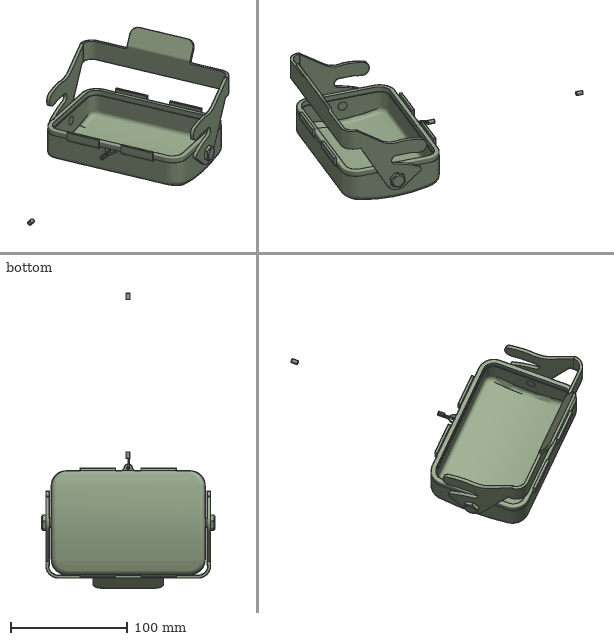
import cadquery as cq
import math


HOUSING_LENGTH = 132.5
HOUSING_WIDTH = 89.3
HOUSING_CORNER = 13.2
WALL = 5.0
SEAM_Z = 29.2
BOTTOM_SAG = 7.0
BOTTOM_FILLET = 4.5
FLOOR_FILLET = 3.8
HALF_WIDTH = HOUSING_WIDTH / 2
BOTTOM_RADIUS = (HALF_WIDTH**2 + BOTTOM_SAG**2) / (2 * BOTTOM_SAG)

CLIP_LENGTH = 30.5
CLIP_OFFSET = 26.1
CLIP_THICKNESS = 2.3
CLIP_TOP_Z = 36.3
CLIP_BEND_Z = 30.7
CLIP_FOOT_Z = 27.1
CLIP_FOOT_BULGE = 0.38

LUG_Z = 28.0
LUG_THICKNESS = 1.8
LUG_RADIUS = 3.5
LUG_BASE_HALF = 5.5
LUG_HOLE_Y = -47.0
LUG_HOLE_RADIUS = 1.15

RIM_TOP_Z = 33.7
RIM_WALL = 4.0
RIM_CORNER = 14.0
RIM_FILLET = 0.8

BRACKET_LENGTH = 141.8
BRACKET_BACK_Y = 47.7
STRAP_THICKNESS = 2.5
ARM_THICKNESS = 3.0
BEND_RADIUS = 11.0
STRAP_TOP_Z = 77.5
STRAP_BOTTOM_Z = 60.0
BEND_END_Y = BRACKET_BACK_Y - BEND_RADIUS
FOOT_RADIUS = 10.1
FOOT_ARC_END = math.radians(-30)
ARM_BACK_CORNER_Y = 33.5
FINGER_ROOT_Y = 12.5
FINGER_ROOT_Z = 61.0
TAB_WIDTH = 61.0
TAB_BEND_Z = 80.2
TAB_BEND_RADIUS = 1.3
TAB_TOP_Z = 96.0
TAB_TILT = math.radians(30)
TAB_CORNER = 7.5
TAB_ROOT_FILLET = 1.5
TAB_FRONT_TOP_Y = BRACKET_BACK_Y - STRAP_THICKNESS + (TAB_TOP_Z - TAB_BEND_Z) * math.tan(TAB_TILT)
TAB_TIP_Y = TAB_FRONT_TOP_Y + STRAP_THICKNESS * math.cos(TAB_TILT)
SELECT_MARGIN = 0.3

PIVOT_Z = 21.8
SHANK_RADIUS = 4.0
HEAD_RADIUS = 7.0
HEAD_FACE_RADIUS = 5.3
HEAD_CHAMFER = 1.3
HEAD_TURN = 20
BOLT_SPAN = 149.0

WIRE_RADIUS = 0.63
LOOP_RADIUS = 2.0
STRAND_OFFSET = 0.8
LOOP_X = 0.38
FERRULE_RADIUS = 1.8
FERRULE_LENGTH = 5.5
FERRULE_X = -0.3
NEAR_FERRULE_END_Y = -61.0
OVERALL_DEPTH = 253.7
FAR_FERRULE_END_Y = TAB_TIP_Y - OVERALL_DEPTH


def rounded_block(length, width, corner, z_low, z_high):
    """Upright block with rounded vertical edges, centred on the Z axis."""
    block = cq.Workplane("XY").workplane(offset=z_low).rect(length, width).extrude(z_high - z_low)
    return block.edges("|Z").fillet(corner)


def bottom_cylinder(radius):
    """Cylinder along X whose lowest line is raised by the reduction of its radius."""
    return (
        cq.Workplane("YZ")
        .center(0, BOTTOM_RADIUS)
        .circle(radius)
        .extrude(HOUSING_LENGTH, both=True)
    )


def tray_block(inset, corner_fillet, z_high):
    """Rounded block with the curved bottom, shrunk by an inset on the sides and below."""
    block = rounded_block(
        HOUSING_LENGTH - 2 * inset, HOUSING_WIDTH - 2 * inset, HOUSING_CORNER - inset, 0, z_high
    )
    block = block.intersect(bottom_cylinder(BOTTOM_RADIUS - inset))
    return block.faces("<Z").edges().fillet(corner_fillet)


def make_clip(x_center, side):
    """Upright clip with a rounded foot outside a long wall; side is -1 (front) or 1 (back)."""
    outer = HALF_WIDTH + CLIP_THICKNESS
    profile = (
        cq.Workplane("YZ")
        .moveTo(side * HALF_WIDTH, CLIP_FOOT_Z)
        .lineTo(side * HALF_WIDTH, CLIP_TOP_Z)
        .lineTo(side * outer, CLIP_TOP_Z)
        .lineTo(side * outer, CLIP_BEND_Z)
        .sagittaArc((side * HALF_WIDTH, CLIP_FOOT_Z), side * CLIP_FOOT_BULGE)
        .close()
    )
    clip = profile.extrude(CLIP_LENGTH / 2, both=True)
    return clip.translate((x_center, 0, 0))


def make_lug():
    """Flat tongue on the front wall, rounded about its hole."""
    inner_y = WALL / 2 - HALF_WIDTH
    tongue = (
        cq.Workplane("XY")
        .moveTo(-LUG_BASE_HALF, inner_y)
        .lineTo(-LUG_BASE_HALF, -HALF_WIDTH)
        .lineTo(-LUG_RADIUS, LUG_HOLE_Y)
        .threePointArc((0, LUG_HOLE_Y - LUG_RADIUS), (LUG_RADIUS, LUG_HOLE_Y))
        .lineTo(LUG_BASE_HALF, -HALF_WIDTH)
        .lineTo(LUG_BASE_HALF, inner_y)
        .close()
        .extrude(LUG_THICKNESS / 2, both=True)
    )
    hole = cq.Workplane("XY").center(0, LUG_HOLE_Y).circle(LUG_HOLE_RADIUS).extrude(LUG_THICKNESS, both=True)
    return tongue.cut(hole).translate((0, 0, LUG_Z))


def pivot_bore():
    """Cylinder along the pivot axis that the bolt shanks fill."""
    return (
        cq.Workplane("YZ").center(0, PIVOT_Z).circle(SHANK_RADIUS).extrude(BRACKET_LENGTH, both=True)
    )


def make_housing():
    housing = tray_block(0, BOTTOM_FILLET, SEAM_Z)
    housing = housing.cut(tray_block(WALL, FLOOR_FILLET, SEAM_Z))
    for side in (-1, 1):
        for x_center in (-CLIP_OFFSET, CLIP_OFFSET):
            housing = housing.union(make_clip(x_center, side))
    return housing.union(make_lug()).cut(pivot_bore())


def make_rim():
    outer = rounded_block(HOUSING_LENGTH, HOUSING_WIDTH, RIM_CORNER, SEAM_Z, RIM_TOP_Z)
    outer = outer.faces(">Z").edges().fillet(RIM_FILLET)
    opening = rounded_block(
        HOUSING_LENGTH - 2 * RIM_WALL,
        HOUSING_WIDTH - 2 * RIM_WALL,
        RIM_CORNER - RIM_WALL,
        SEAM_Z,
        RIM_TOP_Z,
    )
    return outer.cut(opening)


def make_strap():
    """Back strap with its two rounded bends, ending where the arms begin."""
    def bent_block(inset):
        half = BRACKET_LENGTH / 2 - inset
        back = BRACKET_BACK_Y - inset
        radius = BEND_RADIUS - inset
        block = (
            cq.Workplane("XY")
            .workplane(offset=STRAP_BOTTOM_Z)
            .moveTo(-half, BEND_END_Y)
            .lineTo(half, BEND_END_Y)
            .radiusArc((half - radius, back), -radius)
            .lineTo(radius - half, back)
            .radiusArc((-half, BEND_END_Y), -radius)
            .close()
        )
        return block.extrude(STRAP_TOP_Z - STRAP_BOTTOM_Z)

    return bent_block(0).cut(bent_block(STRAP_THICKNESS))


def arm_outline():
    """Forked arm in the YZ plane: an upper finger, a round-ended slot and a foot about the pivot."""
    return (
        cq.Workplane("YZ")
        .moveTo(BEND_END_Y, STRAP_TOP_Z)
        .lineTo(FINGER_ROOT_Y, FINGER_ROOT_Z)
        .threePointArc((4.5, 58.4), (-3.8, 58.9))
        .threePointArc((-12.5, 58.5), (-20.8, 57.0))
        .threePointArc((-27.1, 51.2), (-22.8, 44.7))
        .threePointArc((-18.3, 44.7), (-13.7, 45.7))
        .lineTo(1.0, 45.7)
        .threePointArc((5.0, 41.5), (1.0, 37.0))
        .threePointArc((-11.0, 34.0), (-20.8, 30.0))
        .threePointArc((-22.0, 28.2), (-21.3, 26.0))
        .lineTo(-6.3, 13.5)
        .threePointArc(
            (0, PIVOT_Z - FOOT_RADIUS),
            (FOOT_RADIUS * math.cos(FOOT_ARC_END), PIVOT_Z + FOOT_RADIUS * math.sin(FOOT_ARC_END)),
        )
        .lineTo(ARM_BACK_CORNER_Y, STRAP_BOTTOM_Z)
        .lineTo(BEND_END_Y, STRAP_BOTTOM_Z)
        .close()
    )


def make_tab():
    """Tab that rises from the strap and tilts backwards."""
    back = BRACKET_BACK_Y
    front = back - STRAP_THICKNESS
    bend_shift = STRAP_THICKNESS * math.tan(TAB_TILT / 2)
    plate_corner_z = TAB_TOP_Z - STRAP_THICKNESS * math.sin(TAB_TILT)
    profile = [
        (front, STRAP_TOP_Z),
        (back, STRAP_TOP_Z),
        (back, TAB_BEND_Z - bend_shift),
        (TAB_TIP_Y, plate_corner_z),
        (TAB_FRONT_TOP_Y, TAB_TOP_Z),
        (front, TAB_BEND_Z),
    ]
    tab = cq.Workplane("YZ").polyline(profile).close().extrude(TAB_WIDTH / 2, both=True)
    top_corners = cq.selectors.BoxSelector(
        (-TAB_WIDTH, front, plate_corner_z - STRAP_THICKNESS),
        (TAB_WIDTH, TAB_TIP_Y + STRAP_THICKNESS, TAB_TOP_Z + STRAP_THICKNESS),
    )
    tab = tab.edges(top_corners).edges("not |X").fillet(TAB_CORNER)
    front_bend = cq.selectors.NearestToPointSelector((0, front, TAB_BEND_Z))
    back_bend = cq.selectors.NearestToPointSelector((0, back, TAB_BEND_Z - bend_shift))
    tab = tab.edges("|X").edges(front_bend).fillet(TAB_BEND_RADIUS + STRAP_THICKNESS)
    return tab.edges("|X").edges(back_bend).fillet(TAB_BEND_RADIUS)


def make_bracket():
    bracket = make_strap()
    for arm_start in (-BRACKET_LENGTH / 2, BRACKET_LENGTH / 2 - ARM_THICKNESS):
        bracket = bracket.union(arm_outline().extrude(ARM_THICKNESS).translate((arm_start, 0, 0)))
    bracket = bracket.union(make_tab())
    root_corners = cq.selectors.BoxSelector(
        (-TAB_WIDTH / 2 - SELECT_MARGIN, 0, STRAP_TOP_Z - SELECT_MARGIN),
        (TAB_WIDTH / 2 + SELECT_MARGIN, BRACKET_BACK_Y, STRAP_TOP_Z + SELECT_MARGIN),
    )
    bracket = bracket.edges("|Y").edges(root_corners).fillet(TAB_ROOT_FILLET)
    return bracket.cut(pivot_bore())


def make_bolt(side):
    """Hexagon-headed pivot bolt; side is -1 or 1 along X."""
    head_seat = BRACKET_LENGTH / 2
    head_end = BOLT_SPAN / 2
    shank_end = HOUSING_LENGTH / 2 - WALL
    turns = [math.radians(HEAD_TURN + 60 * index) for index in range(6)]
    corners = [(HEAD_RADIUS * math.cos(turn), HEAD_RADIUS * math.sin(turn)) for turn in turns]
    hexagon = (
        cq.Workplane("YZ").workplane(offset=head_seat).polyline(corners).close().extrude(head_end - head_seat)
    )
    envelope = (
        cq.Workplane("XY")
        .moveTo(head_seat, 0)
        .lineTo(head_seat, HEAD_RADIUS)
        .lineTo(head_end - HEAD_CHAMFER, HEAD_RADIUS)
        .lineTo(head_end, HEAD_FACE_RADIUS)
        .lineTo(head_end, 0)
        .close()
        .revolve(360, (0, 0, 0), (1, 0, 0))
    )
    shank = cq.Workplane("YZ").workplane(offset=shank_end).circle(SHANK_RADIUS).extrude(head_seat - shank_end)
    bolt = hexagon.intersect(envelope).union(shank)
    if side < 0:
        bolt = bolt.mirror("YZ")
    return bolt.translate((0, 0, PIVOT_Z))


def make_loop():
    """Wire that passes through the lug hole and closes into the near ferrule."""
    mouth_y = NEAR_FERRULE_END_Y + FERRULE_LENGTH
    arc_y = LUG_HOLE_Y - LOOP_RADIUS
    path = (
        cq.Workplane("YZ")
        .moveTo(NEAR_FERRULE_END_Y, LUG_Z + STRAND_OFFSET)
        .lineTo(mouth_y, LUG_Z + STRAND_OFFSET)
        .lineTo(arc_y, LUG_Z + LOOP_RADIUS)
        .threePointArc((LUG_HOLE_Y, LUG_Z), (arc_y, LUG_Z - LOOP_RADIUS))
        .lineTo(mouth_y, LUG_Z - STRAND_OFFSET)
        .lineTo(NEAR_FERRULE_END_Y, LUG_Z - STRAND_OFFSET)
    )
    section = cq.Workplane("XZ", origin=(0, NEAR_FERRULE_END_Y, LUG_Z + STRAND_OFFSET)).circle(WIRE_RADIUS)
    return section.sweep(path, transition="round").translate((LOOP_X, 0, 0))


def make_ferrule(end_y):
    """Plain sleeve along Y whose front end is at end_y."""
    return (
        cq.Workplane("XZ", origin=(FERRULE_X, end_y, LUG_Z)).circle(FERRULE_RADIUS).extrude(-FERRULE_LENGTH)
    )


housing = make_housing()
rim = make_rim()
bracket = make_bracket()
bolts = [make_bolt(side) for side in (-1, 1)]
loop = make_loop()
near_ferrule = make_ferrule(NEAR_FERRULE_END_Y).cut(loop)
far_ferrule = make_ferrule(FAR_FERRULE_END_Y)

result = cq.Compound.makeCompound(
    [
        housing.val(),
        rim.val(),
        bracket.val(),
        *[bolt.val() for bolt in bolts],
        loop.val(),
        near_ferrule.val(),
        far_ferrule.val(),
    ]
)